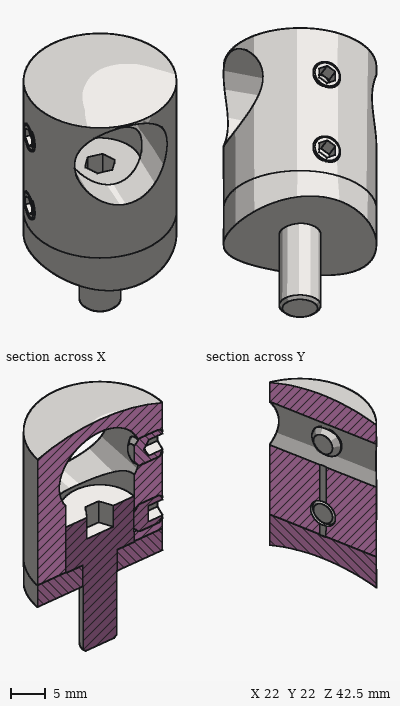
import cadquery as cq
import math

outer_diameter = 22.0
outer_radius = outer_diameter / 2

total_height = 42.45
dome_edge_height = 40.25
rod_hole_height = 32.9
head_top_height = 25.1
lower_screw_height = 20.5
joint_height = 16.45
saddle_crest_height = 12.4

rod_hole_diameter = 14.2
bore_diameter = 12.0
saddle_diameter = 60.3

head_diameter = 11.9
shank_diameter = 6.0
shank_chamfer = 0.45
head_socket_width = 4.0
head_socket_depth = head_socket_width

screw_diameter = 5.0
screw_length = 5.0
screw_face_diameter = 3.78
screw_tip_diameter = 3.25
screw_hole_diameter = 4.2
screw_face_y = -outer_radius

socket_width = 2.5
socket_depth = screw_length / 2
socket_floor_y = screw_face_y + socket_depth
drill_point_angle = 118.0


def vertical_cylinder(diameter, bottom, top):
    return cq.Workplane("XY", origin=(0, 0, bottom)).circle(diameter / 2).extrude(top - bottom)


def hexagon_prism(width, depth):
    """Prism on +Z with the given width across flats and two corners on the Y axis."""
    corner_diameter = width / math.cos(math.radians(30))
    return cq.Workplane("XY").polygon(6, corner_diameter).extrude(depth).rotate((0, 0, 0), (0, 0, 1), 90)


def make_screw_blank(height):
    """Outer shape of a set screw, without its socket."""
    radius = screw_diameter / 2
    face_radius = screw_face_diameter / 2
    tip_radius = screw_tip_diameter / 2
    tip_y = screw_face_y + screw_length
    half_profile = [
        (0, screw_face_y),
        (face_radius, screw_face_y),
        (radius, screw_face_y + radius - face_radius),
        (radius, tip_y - (radius - tip_radius)),
        (tip_radius, tip_y),
        (0, tip_y),
    ]
    blank = cq.Workplane("XY").polyline(half_profile).close().revolve(360, (0, 0), (0, 1))
    return blank.translate((0, 0, height))


def make_screw(height, drill_pointed):
    """Set screw whose hexagon socket ends flat or in a conical drill point."""
    socket = (
        hexagon_prism(socket_width, socket_depth)
        .rotate((0, 0, 0), (1, 0, 0), -90)
        .translate((0, screw_face_y, height))
    )
    screw = make_screw_blank(height).cut(socket)
    if drill_pointed:
        point_radius = socket_width / 2
        point_length = point_radius / math.tan(math.radians(drill_point_angle / 2))
        point_base = cq.Vector(0, socket_floor_y, height)
        point = cq.Solid.makeCone(point_radius, 0, point_length, point_base, cq.Vector(0, 1, 0))
        screw = screw.cut(cq.Workplane(point))
    return screw


def make_housing():
    """Domed post with a rod hole across it, a stud bore from below and two screw holes."""
    dome_rise = total_height - dome_edge_height
    dome_radius = (outer_radius**2 + dome_rise**2) / (2 * dome_rise)
    mid_radius = outer_radius / 2
    mid_height = total_height - dome_radius + math.sqrt(dome_radius**2 - mid_radius**2)
    housing = (
        cq.Workplane("XZ")
        .moveTo(0, joint_height)
        .lineTo(outer_radius, joint_height)
        .lineTo(outer_radius, dome_edge_height)
        .threePointArc((mid_radius, mid_height), (0, total_height))
        .close()
        .revolve(360, (0, 0), (0, 1))
    )
    rod_hole = (
        cq.Workplane("YZ", origin=(0, 0, rod_hole_height))
        .circle(rod_hole_diameter / 2)
        .extrude(outer_radius, both=True)
    )
    stud_bore = vertical_cylinder(bore_diameter, joint_height, rod_hole_height)
    housing = housing.cut(rod_hole).cut(stud_bore)

    for height in (rod_hole_height, lower_screw_height):
        screw_hole = (
            cq.Workplane("XZ", origin=(0, 0, height))
            .circle(screw_hole_diameter / 2)
            .extrude(outer_radius)
        )
        housing = housing.cut(screw_hole).cut(make_screw_blank(height))
    return housing


def make_base():
    """Disc under the housing, hollowed below to sit on a tube that lies along Y."""
    disc = vertical_cylinder(outer_diameter, 0, joint_height)
    tube = (
        cq.Workplane("XZ", origin=(0, 0, saddle_crest_height - saddle_diameter / 2))
        .circle(saddle_diameter / 2)
        .extrude(outer_diameter, both=True)
    )
    shank_hole = vertical_cylinder(shank_diameter, 0, joint_height)
    return disc.cut(tube).cut(shank_hole)


def make_stud():
    """Shank through the base, with a socketed head in the lower part of the housing bore."""
    shank = vertical_cylinder(shank_diameter, 0, joint_height).faces("<Z").chamfer(shank_chamfer)
    head = vertical_cylinder(head_diameter, joint_height, head_top_height)
    socket = hexagon_prism(head_socket_width, head_socket_depth).translate(
        (0, 0, head_top_height - head_socket_depth)
    )
    return shank.union(head).cut(socket)


housing = make_housing()
base = make_base()
stud = make_stud()
upper_screw = make_screw(rod_hole_height, drill_pointed=True)
lower_screw = make_screw(lower_screw_height, drill_pointed=False)

result = cq.Compound.makeCompound(
    [housing.val(), base.val(), stud.val(), upper_screw.val(), lower_screw.val()]
)